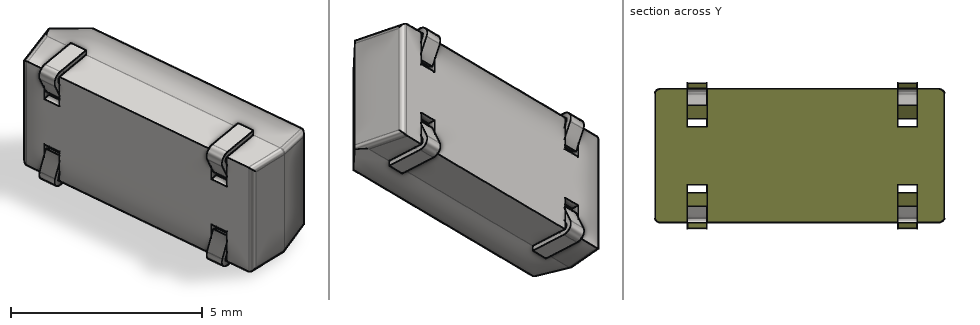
import cadquery as cq
import math

front_y = -1.15
rear_y = 1.14
half_length = 4.0
rear_half_width = 1.59
left_front_x = -3.71
left_tip_y = 0.29
right_face_x = 3.83
left_edge_radius = 0.16
right_edge_radius = 0.14

lead_width = 0.5
lead_thickness = 0.15
lead_span = 3.8
lead_half_span = lead_span / 2
half_width = lead_half_span - lead_thickness
lead_front_y = -1.36
bend_radius = 0.25
leg_angle = 24.0
leg_tip_z = 0.96
lead_spacing = 5.49
lead_center_x = -0.01

pocket_inner_z = 0.76
pocket_depth = 0.22


def make_body():
    """Block with a pointed left end, a tapered rear half and rounded end edges."""
    chamfer_run = rear_y - left_tip_y
    plan = (
        cq.Workplane("XY", origin=(0, 0, -half_width))
        .moveTo(left_front_x, front_y)
        .lineTo(right_face_x, front_y)
        .lineTo(half_length, 0)
        .lineTo(right_face_x, rear_y)
        .lineTo(-half_length + chamfer_run, rear_y)
        .lineTo(-half_length, left_tip_y)
        .close()
        .extrude(2 * half_width)
    )
    section = (
        cq.Workplane("YZ", origin=(-half_length, 0, 0))
        .polyline([
            (front_y, -half_width),
            (0, -half_width),
            (rear_y, -rear_half_width),
            (rear_y, rear_half_width),
            (0, half_width),
            (front_y, half_width),
        ])
        .close()
        .extrude(2 * half_length)
    )
    left_face_center = ((left_front_x - half_length) / 2, (front_y + left_tip_y) / 2, 0)
    left_face = plan.faces(cq.NearestToPointSelector(left_face_center))
    left_edges = [edge for edge in left_face.edges().vals() if edge.Center().y < 0]
    block = plan.newObject(left_edges).fillet(left_edge_radius).intersect(section)
    right_edges = [
        edge for edge in block.edges().vals()
        if edge.Center().x > right_face_x - right_edge_radius and abs(edge.Center().y) > right_edge_radius
    ]
    return block.newObject(right_edges).fillet(right_edge_radius)


def make_lead(center_x, side):
    """Strip along the body's side, bent round its front edge; side is +1 for +Z, -1 for -Z."""
    angle = math.radians(leg_angle)
    bend_y = lead_front_y + bend_radius
    bend_z = lead_half_span - bend_radius
    inner_radius = bend_radius - lead_thickness

    def bend_point(radius, degrees):
        turn = math.radians(degrees)
        return (bend_y - radius * math.sin(turn), bend_z + radius * math.cos(turn))

    end_turn = 90 + leg_angle
    outer_end = bend_point(bend_radius, end_turn)
    inner_end = bend_point(inner_radius, end_turn)
    leg_length = (outer_end[1] - leg_tip_z) / math.cos(angle)
    leg_step = (leg_length * math.sin(angle), -leg_length * math.cos(angle))
    lead = (
        cq.Workplane("YZ", origin=(center_x - lead_width / 2, 0, 0))
        .moveTo(0, lead_half_span)
        .lineTo(bend_y, lead_half_span)
        .threePointArc(bend_point(bend_radius, end_turn / 2), outer_end)
        .line(*leg_step)
        .lineTo(inner_end[0] + leg_step[0], inner_end[1] + leg_step[1])
        .lineTo(*inner_end)
        .threePointArc(bend_point(inner_radius, end_turn / 2), (bend_y, bend_z + inner_radius))
        .lineTo(0, bend_z + inner_radius)
        .close()
        .extrude(lead_width)
    )
    return lead if side > 0 else lead.mirror("XY")


def make_pocket(center_x, side):
    """Slot in the front face, from beside the leg's tip out to the body's edge."""
    height = half_width - pocket_inner_z
    center_z = side * (half_width + pocket_inner_z) / 2
    return cq.Workplane("XY").box(lead_width, pocket_depth, height).translate(
        (center_x, front_y + pocket_depth / 2, center_z)
    )


body = make_body()
leads = []
for end in (-1, 1):
    lead_x = lead_center_x + end * lead_spacing / 2
    for side in (-1, 1):
        body = body.cut(make_pocket(lead_x, side))
        leads.append(make_lead(lead_x, side))

result = cq.Compound.makeCompound([body.val(), *[lead.val() for lead in leads]])